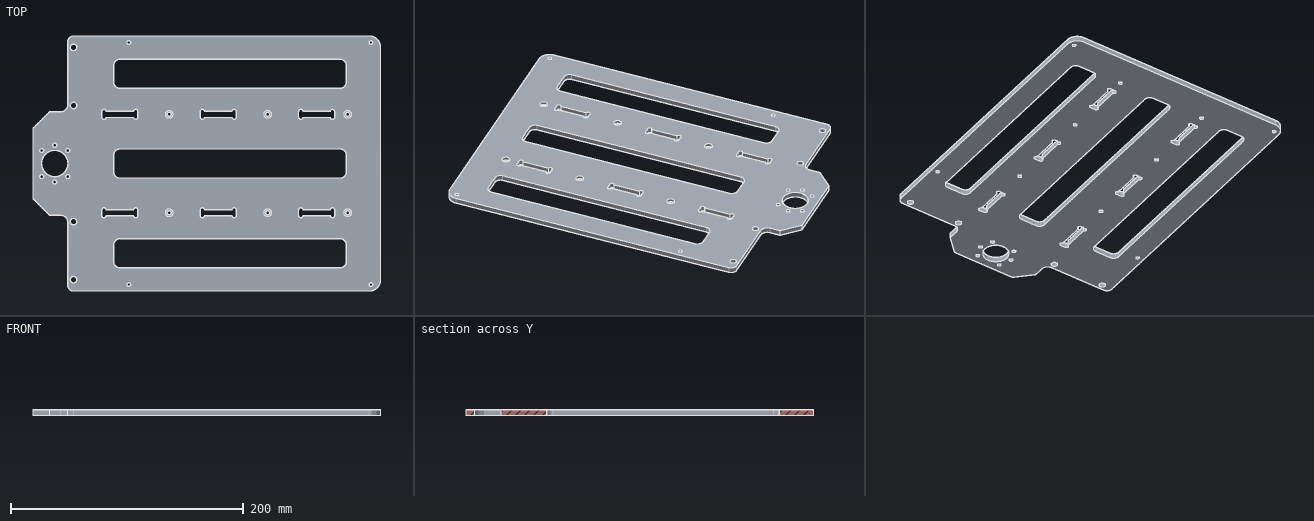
import cadquery as cq
import math

length = 299.8
width = 220.0
thickness = 5.0
tab_length = 30.0
tab_half_width = 44.7
tab_chamfer = 14.5
inner_corner_radius = 6.0
tab_side_corner_radius = 5.0
far_corner_radius = 10.0

window_length = 200.3
window_width = 25.0
window_radius = 5.0
window_center_x = 170.0
window_pitch = 77.5

row_pitch = 85.0
row_offset = row_pitch / 2
dogbone_count = 3
dogbone_first_x = 75.0
dogbone_length = 31.0
dogbone_waist = 5.0
dogbone_end_width = 3.5
dogbone_end_height = 8.5
screw_first_x = 117.5
screw_last_x = 271.5
screw_diameter = 3.3
screw_head_diameter = 6.5
screw_head_depth = 3.0

opening_x = 19.0
opening_diameter = 22.5
bolt_circle_radius = 16.0
bolt_diameter = 3.3
bolt_angles = (45, 90, 135, 225, 270, 315)

side_hole_x = 35.0
side_hole_offsets = (50.0, 100.0)
side_hole_diameter = 5.5

pattern_half = 104.3
pattern_center_x = 187.0
pattern_hole_diameter = 3.0


def both_sides(xs, ys):
    """Every x paired with every y and its mirror image."""
    return [(x, side * y) for x in xs for y in ys for side in (-1, 1)]


def make_body():
    body = (
        cq.Workplane("XY")
        .rect(length - tab_length, width)
        .extrude(thickness)
        .translate(((length + tab_length) / 2, 0, 0))
    )
    body = body.edges("|Z and <X").fillet(tab_side_corner_radius)
    body = body.edges("|Z and >X").fillet(far_corner_radius)
    tab_block_length = 2 * tab_length
    tab = (
        cq.Workplane("XY")
        .rect(tab_block_length, 2 * tab_half_width)
        .extrude(thickness)
        .translate((tab_block_length / 2, 0, 0))
        .edges("|Z and <X")
        .chamfer(tab_chamfer)
    )
    plate = body.union(tab)
    inner_corners = plate.edges("|Z").edges(
        cq.selectors.NearestToPointSelector((tab_length, -tab_half_width, thickness / 2))
        + cq.selectors.NearestToPointSelector((tab_length, tab_half_width, thickness / 2))
    )
    return inner_corners.fillet(inner_corner_radius)


def make_windows():
    return (
        cq.Workplane("XY")
        .pushPoints([(window_center_x, row * window_pitch) for row in (-1, 0, 1)])
        .rect(window_length, window_width)
        .extrude(thickness)
        .edges("|Z")
        .fillet(window_radius)
    )


def make_dogbones():
    centers_x = [dogbone_first_x + i * row_pitch for i in range(dogbone_count)]
    end_shift = (dogbone_length - dogbone_end_width) / 2
    ends_x = [x + side * end_shift for x in centers_x for side in (-1, 1)]
    waists = (
        cq.Workplane("XY")
        .pushPoints(both_sides(centers_x, [row_offset]))
        .rect(2 * end_shift, dogbone_waist)
        .extrude(thickness)
    )
    ends = (
        cq.Workplane("XY")
        .pushPoints(both_sides(ends_x, [row_offset]))
        .slot2D(dogbone_end_height, dogbone_end_width, angle=90)
        .extrude(thickness)
    )
    return waists.union(ends)


def screw_holes(plate, points):
    return (
        plate.faces(">Z")
        .workplane(origin=(0, 0, 0))
        .pushPoints(points)
        .cboreHole(screw_diameter, screw_head_diameter, screw_head_depth)
    )


def drill(plate, points, diameter):
    return plate.faces(">Z").workplane(origin=(0, 0, 0)).pushPoints(points).hole(diameter)


plate = make_body().cut(make_windows()).cut(make_dogbones())

screw_xs = [screw_first_x, screw_first_x + row_pitch, screw_last_x]
plate = screw_holes(plate, both_sides(screw_xs, [row_offset]))

plate = drill(plate, [(opening_x, 0)], opening_diameter)
bolt_points = [
    (
        opening_x + bolt_circle_radius * math.cos(math.radians(angle)),
        bolt_circle_radius * math.sin(math.radians(angle)),
    )
    for angle in bolt_angles
]
plate = drill(plate, bolt_points, bolt_diameter)

plate = drill(plate, both_sides([side_hole_x], side_hole_offsets), side_hole_diameter)

pattern_xs = [pattern_center_x - pattern_half, pattern_center_x + pattern_half]
plate = drill(plate, both_sides(pattern_xs, [pattern_half]), pattern_hole_diameter)

result = plate